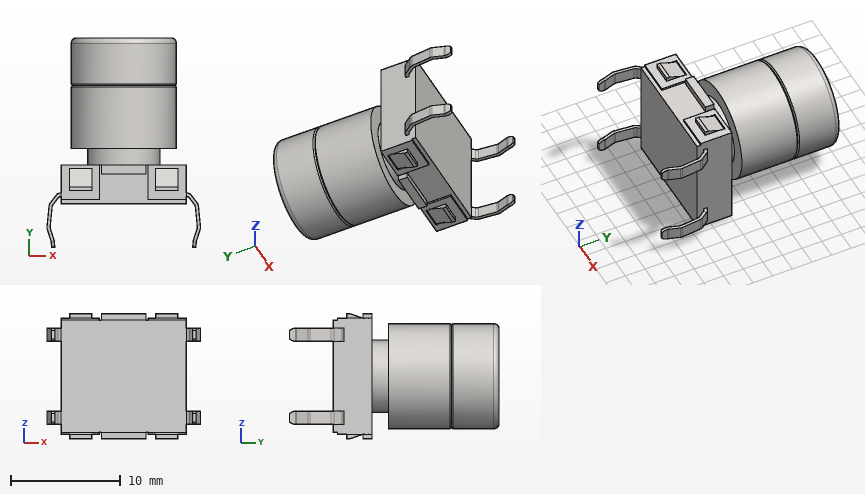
import cadquery as cq
import math


housing_width = 11.4
housing_depth = 3.55
core_height = 10.22
overall_height = 11.4
panel_thickness = 0.2
panel_width = 3.48
panel_clearance = 0.38
bar_width = 4.07
bar_depth = 0.85

ramp_size = 2.0
ramp_center_x = 3.92
ramp_setback = 0.32
ramp_land = 0.32

stem_diameter = 6.6
stem_length = 1.47
cap_diameter = 9.6
pin_reach = 4.0
total_length = 19.1
cap_length = total_length - pin_reach - housing_depth - stem_length
cap_edge_radius = 0.5
groove_width = 0.25
groove_setback = 4.2

pin_thickness = 0.3
pin_width = 1.22
pin_center_z = 3.78
pin_root_y = 1.0
pin_embed = 0.38
bend_radius = 0.5
pin_tip_width = 0.73
pin_tip_length = 0.6

half_width = housing_width / 2
half_core = core_height / 2
half_overall = overall_height / 2
housing_top = housing_depth
cap_bottom = housing_top + stem_length
cap_top = cap_bottom + cap_length

pin_outer_corners = [
    (half_width - pin_embed, pin_root_y),
    (6.0, pin_root_y),
    (6.8, -0.05),
    (7.01, -2.22),
    (6.63, -3.4),
    (6.57, -pin_reach),
]


def block(x_range, y_range, z_range):
    """Box spanning the given (low, high) ranges."""
    spans = [high - low for low, high in (x_range, y_range, z_range)]
    corner = (x_range[0], y_range[0], z_range[0])
    return cq.Workplane("XY").box(*spans, centered=False).translate(corner)


def plunger():
    """Stem and grooved cap, turned about the Y axis."""
    stem_radius = stem_diameter / 2
    cap_radius = cap_diameter / 2
    groove_top = cap_top - groove_setback
    groove_depth = groove_width / 2
    arc_inset = cap_edge_radius * (1 - math.sqrt(0.5))
    return (
        cq.Workplane("XY")
        .moveTo(0, housing_top)
        .lineTo(stem_radius, housing_top)
        .lineTo(stem_radius, cap_bottom)
        .lineTo(cap_radius, cap_bottom)
        .lineTo(cap_radius, groove_top - groove_width)
        .lineTo(cap_radius - groove_depth, groove_top - groove_width / 2)
        .lineTo(cap_radius, groove_top)
        .lineTo(cap_radius, cap_top - cap_edge_radius)
        .threePointArc(
            (cap_radius - arc_inset, cap_top - arc_inset),
            (cap_radius - cap_edge_radius, cap_top),
        )
        .lineTo(0, cap_top)
        .close()
        .revolve(360, (0, 0, 0), (0, 1, 0))
    )


def corner_panel():
    """Raised panel at the +X, +Z corner, with its window and snap ramp."""
    panel_x = (half_width - panel_width, half_width)
    panel_z = (half_core, half_core + panel_thickness)
    ramp_x = (ramp_center_x - ramp_size / 2, ramp_center_x + ramp_size / 2)
    ramp_start = housing_top - ramp_setback
    ramp_end = ramp_start - ramp_size
    panel = block(panel_x, (panel_clearance, housing_top), panel_z)
    window = block(ramp_x, (ramp_end, ramp_start), panel_z)
    ramp = (
        cq.Workplane("YZ", origin=(ramp_x[0], 0, 0))
        .moveTo(ramp_start, half_core)
        .lineTo(ramp_end + ramp_land, half_overall)
        .lineTo(ramp_end, half_overall)
        .lineTo(ramp_end, half_core)
        .close()
        .extrude(ramp_size)
    )
    return panel.cut(window).union(ramp)


def offset_corners(corners, distance):
    """Corners of the parallel path, on the right-hand side of the direction of travel."""
    headings = [math.atan2(y2 - y1, x2 - x1) for (x1, y1), (x2, y2) in zip(corners, corners[1:])]
    before = headings[:1] + headings
    after = headings + headings[-1:]
    shifted = []
    for (x, y), arriving, leaving in zip(corners, before, after):
        bisector = (arriving + leaving) / 2
        miter = distance / math.cos((leaving - arriving) / 2)
        shifted.append((x + miter * math.sin(bisector), y - miter * math.cos(bisector)))
    return shifted


def pin():
    """Bent flat pin on the +X side, centered on Z = 0, with a rounded tip."""
    inner_corners = offset_corners(pin_outer_corners, pin_thickness)
    strip = (
        cq.Workplane("XY")
        .polyline(pin_outer_corners + inner_corners[::-1])
        .close()
        .extrude(pin_width / 2, both=True)
    )
    for x, y in pin_outer_corners[1:-1] + inner_corners[1:-1]:
        bend_edge = strip.edges("|Z").edges(cq.NearestToPointSelector((x, y, 0)))
        strip = bend_edge.fillet(bend_radius)

    half_pin = pin_width / 2
    half_tip = pin_tip_width / 2
    shoulder_y = pin_tip_length - pin_reach
    half_outline = (
        cq.Workplane("YZ")
        .moveTo(pin_root_y, -half_pin)
        .lineTo(shoulder_y, -half_pin)
        .tangentArcPoint((-pin_reach, -half_tip), relative=False)
        .lineTo(-pin_reach, 0)
        .lineTo(pin_root_y, 0)
        .close()
        .extrude(housing_width)
    )
    outline = half_outline.union(half_outline.mirror("XY"))
    return strip.intersect(outline)


housing = block((-half_width, half_width), (0, housing_top), (-half_core, half_core))
bars = block(
    (-bar_width / 2, bar_width / 2),
    (housing_top - bar_depth, housing_top),
    (-half_overall, half_overall),
)
result = housing.union(bars).union(plunger())

right_panel = corner_panel()
right_panels = right_panel.union(right_panel.mirror("XY"))
right_pin = pin()
right_pins = right_pin.translate((0, 0, pin_center_z)).union(right_pin.translate((0, 0, -pin_center_z)))
for pair in (right_panels, right_pins):
    result = result.union(pair).union(pair.mirror("YZ"))